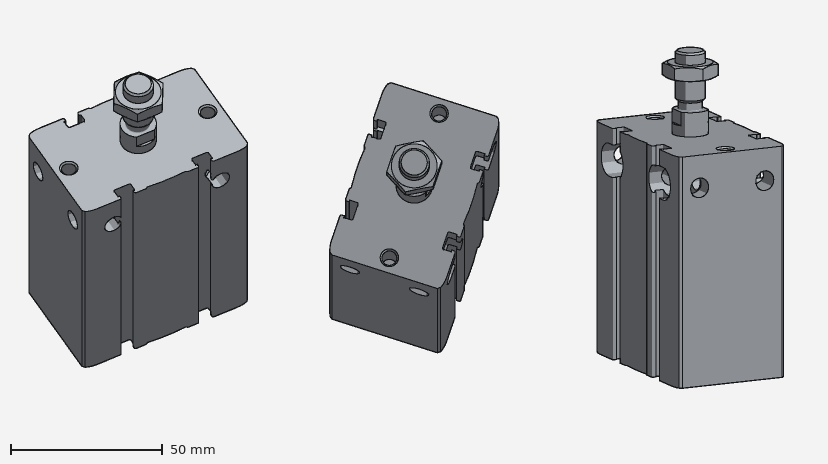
import cadquery as cq
import math

OVERALL_HEIGHT = 106.0
HOUSING_WIDTH = 40.0
HOUSING_LENGTH = 62.0
HOUSING_HEIGHT = 78.0
HALF_WIDTH = HOUSING_WIDTH / 2
HALF_LENGTH = HOUSING_LENGTH / 2

CORNER_RADIUS = 10.0
CORNER_LENGTH = 4.6
CORNER_CHAMFER_LENGTH = 0.7
CORNER_CHAMFER_WIDTH = 1.0

CROWN_RADIUS = 74.2
CROWN_RECESS = 0.16
CROWN_HALF_WIDTH = 7.2
BAND_HALF_WIDTH = 7.8
STEP_FILLET = 0.6

SLOT_OFFSET = 14.5
SLOT_MOUTH_WIDTH = 5.0
SLOT_INNER_WIDTH = 6.3
SLOT_LIP_DEPTH = 1.4
SLOT_DEPTH = 4.5
SLOT_FILLET = 0.5

EDGE_TOLERANCE = 0.01

CROSS_HOLE_DIAMETER = 6.6
CROSS_HOLE_DROP = 11.0
X_HOLE_OFFSET = 20.0
Y_HOLE_OFFSET = 12.0
POCKET_DIAMETER = 11.0
POCKET_LENGTH = 16.0
POCKET_DEPTH = 12.0
CROSS_HOLE_Z = HOUSING_HEIGHT - CROSS_HOLE_DROP

TOP_HOLE_OFFSET = 26.0
TOP_HOLE_DIAMETER = 4.9
TOP_HOLE_MOUTH_DIAMETER = 6.0
TOP_HOLE_DEPTH = 10.6
DRILL_POINT_ANGLE = 118.0

COLLAR_DIAMETER = 12.0
COLLAR_HEIGHT = 8.2
FLATS_WIDTH = 10.0
FLATS_HEIGHT = 4.6
NECK_DIAMETER = 8.0
NECK_HEIGHT = 2.8
NECK_FILLET = 0.3
NECK_CONE_HEIGHT = 1.0
THREAD_DIAMETER = 10.0
TIP_DIAMETER = 8.6
TIP_CHAMFER = (THREAD_DIAMETER - TIP_DIAMETER) / 2

NUT_ACROSS_FLATS = 16.0
NUT_HEIGHT = 5.0
NUT_TOP_DROP = 4.0
NUT_FACE_DIAMETER = 15.0
NUT_CHAMFER_ANGLE = 20.0


def arc_depth(radius, run):
    """How far an arc falls away from its tangent after a run along that tangent."""
    return radius - math.sqrt(radius**2 - run**2)


def is_step_edge(edge):
    """True for the two edges of the step between the crown and the flat of the side."""
    y = edge.Center().y
    return CROWN_HALF_WIDTH - EDGE_TOLERANCE < y < BAND_HALF_WIDTH + EDGE_TOLERANCE


def housing_quarter():
    """Solid quarter of the block at -X, +Y, with its rounded corner and half of the crowned band."""
    arc_run = CORNER_LENGTH - CORNER_CHAMFER_LENGTH
    arc_start_y = HALF_LENGTH - CORNER_LENGTH
    arc_x = -HALF_WIDTH + arc_depth(CORNER_RADIUS, arc_run)
    arc_mid = (-HALF_WIDTH + arc_depth(CORNER_RADIUS, arc_run / 2), arc_start_y + arc_run / 2)

    crown_top_x = -HALF_WIDTH + CROWN_RECESS
    crown_end_x = crown_top_x + arc_depth(CROWN_RADIUS, CROWN_HALF_WIDTH)
    crown_mid = (crown_top_x + arc_depth(CROWN_RADIUS, CROWN_HALF_WIDTH / 2), CROWN_HALF_WIDTH / 2)

    quarter = (
        cq.Workplane("XY")
        .moveTo(0, HALF_LENGTH)
        .lineTo(arc_x + CORNER_CHAMFER_WIDTH, HALF_LENGTH)
        .lineTo(arc_x, HALF_LENGTH - CORNER_CHAMFER_LENGTH)
        .threePointArc(arc_mid, (-HALF_WIDTH, arc_start_y))
        .lineTo(-HALF_WIDTH, BAND_HALF_WIDTH)
        .lineTo(crown_end_x, CROWN_HALF_WIDTH)
        .threePointArc(crown_mid, (crown_top_x, 0))
        .lineTo(0, 0)
        .close()
        .extrude(HOUSING_HEIGHT)
    )
    return quarter.edges("|Z").filter(is_step_edge).fillet(STEP_FILLET)


def housing_block():
    quarter = housing_quarter()
    half = quarter.union(quarter.mirror("XZ"))
    return half.union(half.mirror("YZ")).clean()


def sensor_slot():
    """T-shaped slot cutter for the -X side, running the full height and centred on Y = 0."""
    mouth = (
        cq.Workplane("XY", origin=(-HALF_WIDTH, 0, 0))
        .rect(2 * SLOT_DEPTH, SLOT_MOUTH_WIDTH)
        .extrude(HOUSING_HEIGHT)
    )
    inner_depth = SLOT_DEPTH - SLOT_LIP_DEPTH
    inner_x = -HALF_WIDTH + SLOT_LIP_DEPTH + inner_depth / 2
    inner = (
        cq.Workplane("XY", origin=(inner_x, 0, 0))
        .rect(inner_depth, SLOT_INNER_WIDTH)
        .extrude(HOUSING_HEIGHT)
    )
    return mouth.union(inner).faces(">X").edges("|Z").fillet(SLOT_FILLET)


def is_slot_mouth_edge(edge):
    """True for a vertical edge where a slot mouth meets a wide side of the housing."""
    centre = edge.Center()
    from_slot_centre = abs(abs(centre.y) - SLOT_OFFSET)
    on_side = math.isclose(abs(centre.x), HALF_WIDTH, abs_tol=EDGE_TOLERANCE)
    return on_side and math.isclose(from_slot_centre, SLOT_MOUTH_WIDTH / 2, abs_tol=EDGE_TOLERANCE)


def cut_sensor_slots(housing):
    """Cut two slots in each wide side and round their mouth edges."""
    for end in (-1, 1):
        slot = sensor_slot().translate((0, end * SLOT_OFFSET, 0))
        housing = housing.cut(slot).cut(slot.mirror("YZ"))
    return housing.edges("|Z").filter(is_slot_mouth_edge).fillet(SLOT_FILLET)


def cross_holes():
    """Two through holes along X and two along Y, all on one level."""
    along_x = (
        cq.Workplane("YZ", origin=(0, 0, CROSS_HOLE_Z))
        .pushPoints([(-X_HOLE_OFFSET, 0), (X_HOLE_OFFSET, 0)])
        .circle(CROSS_HOLE_DIAMETER / 2)
        .extrude(HALF_WIDTH, both=True)
    )
    along_y = (
        cq.Workplane("XZ", origin=(0, 0, CROSS_HOLE_Z))
        .pushPoints([(-Y_HOLE_OFFSET, 0), (Y_HOLE_OFFSET, 0)])
        .circle(CROSS_HOLE_DIAMETER / 2)
        .extrude(HALF_LENGTH, both=True)
    )
    return along_x.union(along_y)


def pockets():
    """Oblong pockets in the -X side; the outer round end is centred on the hole along X."""
    centre = X_HOLE_OFFSET - (POCKET_LENGTH - POCKET_DIAMETER) / 2
    return (
        cq.Workplane("YZ", origin=(-HALF_WIDTH, 0, CROSS_HOLE_Z))
        .pushPoints([(-centre, 0), (centre, 0)])
        .slot2D(POCKET_LENGTH, POCKET_DIAMETER)
        .extrude(POCKET_DEPTH)
    )


def top_hole():
    """Blind hole with a chamfered mouth and a drill point, as a revolved cutter on the Z axis."""
    radius = TOP_HOLE_DIAMETER / 2
    mouth_radius = TOP_HOLE_MOUTH_DIAMETER / 2
    point_depth = radius / math.tan(math.radians(DRILL_POINT_ANGLE / 2))
    return (
        cq.Workplane("XZ", origin=(0, 0, HOUSING_HEIGHT))
        .moveTo(0, 0)
        .lineTo(mouth_radius, 0)
        .lineTo(radius, radius - mouth_radius)
        .lineTo(radius, -TOP_HOLE_DEPTH)
        .lineTo(0, -TOP_HOLE_DEPTH - point_depth)
        .close()
        .revolve(360, (0, 0), (0, 1))
    )


def make_housing():
    housing = cut_sensor_slots(housing_block()).cut(pockets()).cut(cross_holes())
    for end in (-1, 1):
        housing = housing.cut(top_hole().translate((0, end * TOP_HOLE_OFFSET, 0)))
    return housing


def make_rod():
    """Turned rod standing on the housing: collar with two flats, neck and threaded end."""
    collar_top = HOUSING_HEIGHT + COLLAR_HEIGHT
    neck_top = collar_top + NECK_HEIGHT
    rod = (
        cq.Workplane("XZ")
        .moveTo(0, HOUSING_HEIGHT)
        .lineTo(COLLAR_DIAMETER / 2, HOUSING_HEIGHT)
        .lineTo(COLLAR_DIAMETER / 2, collar_top)
        .lineTo(NECK_DIAMETER / 2 + NECK_FILLET, collar_top)
        .tangentArcPoint((NECK_DIAMETER / 2, collar_top + NECK_FILLET), relative=False)
        .lineTo(NECK_DIAMETER / 2, neck_top)
        .lineTo(THREAD_DIAMETER / 2, neck_top + NECK_CONE_HEIGHT)
        .lineTo(THREAD_DIAMETER / 2, OVERALL_HEIGHT - TIP_CHAMFER)
        .lineTo(TIP_DIAMETER / 2, OVERALL_HEIGHT)
        .lineTo(0, OVERALL_HEIGHT)
        .close()
        .revolve(360, (0, 0), (0, 1))
    )
    for side in (-1, 1):
        flat = cq.Workplane("XY").box(
            COLLAR_DIAMETER, COLLAR_DIAMETER, FLATS_HEIGHT, centered=(True, True, False)
        )
        flat_x = side * (FLATS_WIDTH + COLLAR_DIAMETER) / 2
        rod = rod.cut(flat.translate((flat_x, 0, collar_top - FLATS_HEIGHT)))
    return rod


def make_nut():
    """Hex nut with corners along Y, chamfered on both faces and bored to fit the rod."""
    corner_diameter = NUT_ACROSS_FLATS / math.cos(math.pi / 6)
    corner_radius = corner_diameter / 2
    face_radius = NUT_FACE_DIAMETER / 2
    chamfer_drop = (corner_radius - face_radius) * math.tan(math.radians(NUT_CHAMFER_ANGLE))
    hexagon = cq.Workplane("XY").polygon(6, corner_diameter).extrude(NUT_HEIGHT)
    chamfer_envelope = (
        cq.Workplane("XZ")
        .moveTo(0, 0)
        .lineTo(face_radius, 0)
        .lineTo(corner_radius, chamfer_drop)
        .lineTo(corner_radius, NUT_HEIGHT - chamfer_drop)
        .lineTo(face_radius, NUT_HEIGHT)
        .lineTo(0, NUT_HEIGHT)
        .close()
        .revolve(360, (0, 0), (0, 1))
    )
    bore = cq.Workplane("XY").circle(THREAD_DIAMETER / 2).extrude(NUT_HEIGHT)
    nut = hexagon.rotate((0, 0, 0), (0, 0, 1), 90).intersect(chamfer_envelope).cut(bore)
    return nut.translate((0, 0, OVERALL_HEIGHT - NUT_TOP_DROP - NUT_HEIGHT))


housing = make_housing()
rod = make_rod()
nut = make_nut()
result = cq.Compound.makeCompound([housing.val(), rod.val(), nut.val()])